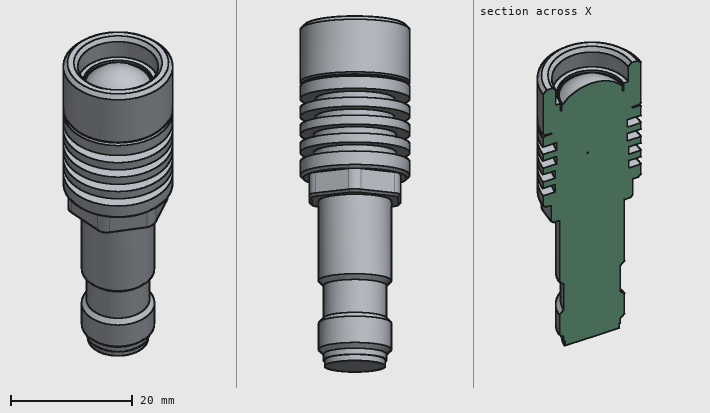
import cadquery as cq
import math

total_height = 57.02
outer_radius = 18.0 / 2
top_chamfer = 0.7

collar_bottom = 9.8
parting_gap = 0.1
parting_chamfer = 0.3
first_groove_top = 12.25
fin_pitch = 3.0
fin_thickness = 1.5
flange_bottom = 25.5
flange_chamfer = 0.5
shaft_end = 42.7
neck_end = 49.0
seal_land_end = 54.2
tip_step = 56.0
tip_end = 57.0
taper_height = 0.8

parting_radius = 14.94 / 2
upper_groove_radius = 13.0 / 2
lower_groove_radius = 13.6 / 2
shaft_radius = 12.0 / 2
neck_radius = 10.4 / 2
tip_radius = 10.0 / 2

hex_across_flats = 15.0
hex_corner_radius = 2.0
hex_height = 3.9
hex_chamfer = 0.45

socket_radius = 13.2 / 2
socket_mouth_radius = 14.5 / 2
socket_mouth_depth = 0.7
socket_depth = 3.9
gap_outer_radius = 11.5 / 2
gap_bottom = 5.5

poppet_radius = 11.2 / 2
dome_radius = 10.8 / 2
dome_top = 1.65
dome_edge = 4.25

end_dome_radius = 8.5 / 2


def level(depth):
    """Height above the base for a depth below the top face."""
    return total_height - depth


def cylinder(radius, upper_depth, lower_depth):
    return (
        cq.Workplane("XY")
        .workplane(offset=level(lower_depth))
        .circle(radius)
        .extrude(lower_depth - upper_depth)
    )


def cone(upper_radius, lower_radius, upper_depth, lower_depth):
    return cq.Workplane("XY").add(
        cq.Solid.makeCone(
            lower_radius,
            upper_radius,
            lower_depth - upper_depth,
            pnt=cq.Vector(0, 0, level(lower_depth)),
        )
    )


def cap_midpoint(edge_radius, sag):
    """Radius and drop from the apex at half the cap's opening angle."""
    sphere_radius = (edge_radius**2 + sag**2) / (2 * sag)
    half_angle = math.atan2(edge_radius, sphere_radius - sag) / 2
    return sphere_radius * math.sin(half_angle), sphere_radius * (1 - math.cos(half_angle))


def dome(edge_radius, edge_depth, apex_depth):
    """Spherical cap on the axis, from its flat edge up or down to the apex."""
    sag = edge_depth - apex_depth
    mid_radius, mid_sag = cap_midpoint(edge_radius, abs(sag))
    mid_depth = apex_depth + math.copysign(mid_sag, sag)
    return (
        cq.Workplane("XZ")
        .moveTo(0, level(edge_depth))
        .lineTo(edge_radius, level(edge_depth))
        .threePointArc((mid_radius, level(mid_depth)), (0, level(apex_depth)))
        .close()
        .revolve(360, (0, 0, 0), (0, 1, 0))
    )


def make_collar():
    collar = cylinder(outer_radius, 0, collar_bottom)
    collar = collar.faces(">Z").chamfer(top_chamfer)
    return collar.faces("<Z").chamfer(parting_chamfer)


def make_finned_body():
    body_top = collar_bottom + parting_gap
    body = cylinder(outer_radius, body_top, flange_bottom)
    body = body.faces(">Z").chamfer(parting_chamfer)
    body = body.faces("<Z").chamfer(flange_chamfer)
    groove_radii = (upper_groove_radius, upper_groove_radius, lower_groove_radius, lower_groove_radius)
    for index, groove_radius in enumerate(groove_radii):
        groove_top = first_groove_top + index * fin_pitch
        groove_bottom = groove_top + fin_pitch - fin_thickness
        ring = cylinder(outer_radius, groove_top, groove_bottom)
        body = body.cut(ring.cut(cylinder(groove_radius, groove_top, groove_bottom)))
    return body.union(cylinder(parting_radius, collar_bottom, body_top))


def make_hex():
    hex_bottom = flange_bottom + hex_height
    corner_diameter = hex_across_flats / math.cos(math.radians(30))
    return (
        cq.Workplane("XY")
        .workplane(offset=level(hex_bottom))
        .polygon(6, corner_diameter)
        .extrude(hex_height)
        .edges("|Z")
        .fillet(hex_corner_radius)
        .faces("<Z")
        .chamfer(hex_chamfer)
    )


def make_stem():
    stem = cylinder(shaft_radius, flange_bottom, shaft_end)
    stem = stem.union(cone(shaft_radius, neck_radius, shaft_end, shaft_end + taper_height))
    stem = stem.union(cylinder(neck_radius, shaft_end, tip_step))
    stem = stem.union(cone(neck_radius, shaft_radius, neck_end, neck_end + taper_height))
    stem = stem.union(cylinder(shaft_radius, neck_end + taper_height, seal_land_end))
    stem = stem.union(cone(shaft_radius, neck_radius, seal_land_end, seal_land_end + taper_height))
    stem = stem.union(cylinder(tip_radius, tip_step, tip_end))
    return stem.union(dome(end_dome_radius, tip_end, total_height))


def make_socket():
    socket = cone(socket_mouth_radius, socket_radius, 0, socket_mouth_depth)
    socket = socket.union(cylinder(socket_radius, 0, socket_depth))
    return socket.union(cylinder(gap_outer_radius, socket_depth, gap_bottom))


def make_poppet():
    post = cylinder(poppet_radius, dome_edge, gap_bottom)
    return post.union(dome(dome_radius, dome_edge, dome_top))


result = (
    make_collar()
    .union(make_finned_body())
    .union(make_hex())
    .union(make_stem())
    .cut(make_socket())
    .union(make_poppet())
)